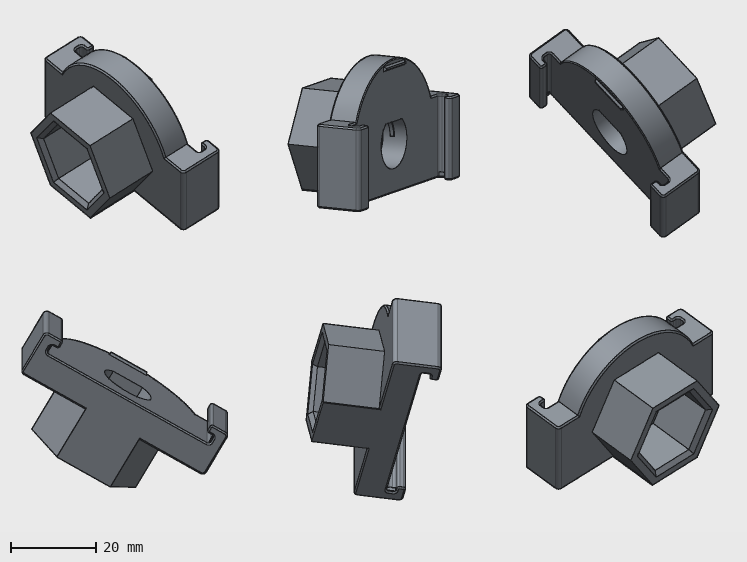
import cadquery as cq
import math

WIDTH = 50.0
DISC_RADIUS = 20.0
BASE_Z = -12.2
SHOULDER_Z = 7.8
PLATE_THICKNESS = 7.3
CORNER_RADIUS = 1.0
EDGE_CHAMFER = 0.4
DISC_BACK_CHAMFER = 0.25

ARM_BACK_Y = 11.7
ARM_WALL = 2.75
HOOK_REACH = 4.85
HOOK_THICKNESS = 2.1
HOOK_TIP_RADIUS = 0.6
CHANNEL_RADIUS = 0.75

STEP_WIDTH = 0.3
STEP_HEIGHT = 1.0

SOCKET_LENGTH = 13.4
SOCKET_RADIUS = 14.15
SOCKET_FOOT_HEIGHT = 0.3
POCKET_RADIUS = 10.75
MOUTH_RADIUS = 12.0
MOUTH_DEPTH = 1.05

CONE_MOUTH_RADIUS = 8.0
CONE_END_RADIUS = 4.5
CONE_DEPTH = 2.0
BORE_RADIUS = 6.35
BORE_FLAT_Z = 4.95

LIP_RADIUS = 6.0
LIP_Y = 3.0
LIP_THICKNESS = 1.0

RIDGE_Z = 18.3
RIDGE_HEIGHT = 0.6
RIDGE_BASE_LENGTH = 10.2
RIDGE_BASE_WIDTH = 1.2
RIDGE_TIP_LENGTH = 9.6
RIDGE_TIP_WIDTH = 0.4

HALF_WIDTH = WIDTH / 2
CHANNEL_WALL_X = HALF_WIDTH - ARM_WALL
HOOK_TIP_X = HALF_WIDTH - HOOK_REACH
HOOK_Y = ARM_BACK_Y - HOOK_THICKNESS


def plane_at(y):
    """XZ workplane at the given y; positive offsets lead toward -Y."""
    return cq.Workplane("XZ", origin=(0, y, 0))


def hexagon(radius):
    """Corners of a hexagon, counter-clockwise from the one on +X."""
    angles = [math.radians(60 * i) for i in range(6)]
    return [(radius * math.cos(a), radius * math.sin(a)) for a in angles]


def round_upright_edges(body, x, radius):
    """Fillet the vertical edges that lie at -x and +x."""
    reach = 0.05
    for side in (-1, 1):
        low = (side * x - reach, -0.5, BASE_Z - 0.5)
        high = (side * x + reach, ARM_BACK_Y + 0.5, SHOULDER_Z + 0.5)
        body = body.edges("|Z").edges(cq.selectors.BoxSelector(low, high)).fillet(radius)
    return body


def make_base():
    """Lower body with both hooked arms."""
    right_half = [
        (HALF_WIDTH, 0),
        (HALF_WIDTH, ARM_BACK_Y),
        (HOOK_TIP_X, ARM_BACK_Y),
        (HOOK_TIP_X, HOOK_Y),
        (CHANNEL_WALL_X, HOOK_Y),
        (CHANNEL_WALL_X, PLATE_THICKNESS),
    ]
    left_half = [(-x, y) for x, y in reversed(right_half)]
    base = (
        cq.Workplane("XY", origin=(0, 0, BASE_Z))
        .polyline(right_half + left_half)
        .close()
        .extrude(SHOULDER_Z - BASE_Z)
    )
    base = round_upright_edges(base, HALF_WIDTH, CORNER_RADIUS)
    base = round_upright_edges(base, CHANNEL_WALL_X, CHANNEL_RADIUS)
    base = round_upright_edges(base, HOOK_TIP_X, HOOK_TIP_RADIUS)
    return base.faces("<Z or >Z").edges().chamfer(EDGE_CHAMFER)


def make_disc():
    """Upper half of the round plate, with both rims chamfered."""
    disc = plane_at(0).circle(DISC_RADIUS).extrude(-PLATE_THICKNESS)
    disc = disc.faces("<Y").edges().chamfer(EDGE_CHAMFER)
    disc = disc.faces(">Y").edges().chamfer(DISC_BACK_CHAMFER)
    upper_half = cq.Workplane("XY").box(WIDTH, WIDTH, DISC_RADIUS, centered=(True, True, False))
    return disc.intersect(upper_half)


def make_channel_step(side):
    """Step on the channel wall; side is -1 or +1."""
    return (
        cq.Workplane("XY", origin=(side * CHANNEL_WALL_X, PLATE_THICKNESS, BASE_Z + EDGE_CHAMFER))
        .box(2 * STEP_WIDTH, HOOK_Y - PLATE_THICKNESS, STEP_HEIGHT, centered=(True, False, False))
    )


def make_socket():
    """Hexagonal prism standing on a straight-sided foot."""
    foot_top_z = BASE_Z + SOCKET_FOOT_HEIGHT
    foot_x = SOCKET_RADIUS + foot_top_z / math.sqrt(3)
    foot = [(-foot_x, foot_top_z), (-foot_x, BASE_Z), (foot_x, BASE_Z), (foot_x, foot_top_z)]
    upper_corners = hexagon(SOCKET_RADIUS)[:4]
    return (
        plane_at(EDGE_CHAMFER)
        .polyline(upper_corners + foot)
        .close()
        .extrude(SOCKET_LENGTH + EDGE_CHAMFER)
    )


def make_ridge():
    """Tapered bar that rises from the back face."""
    return (
        plane_at(PLATE_THICKNESS)
        .center(0, RIDGE_Z)
        .rect(RIDGE_BASE_LENGTH, RIDGE_BASE_WIDTH)
        .workplane(offset=-RIDGE_HEIGHT)
        .rect(RIDGE_TIP_LENGTH, RIDGE_TIP_WIDTH)
        .loft(ruled=True)
    )


def make_pocket():
    """Hexagonal pocket with a flared mouth, as deep as the socket is long."""
    pocket = plane_at(0).polyline(hexagon(POCKET_RADIUS)).close().extrude(SOCKET_LENGTH)
    mouth = (
        plane_at(-SOCKET_LENGTH)
        .polyline(hexagon(MOUTH_RADIUS))
        .close()
        .workplane(offset=-MOUTH_DEPTH)
        .polyline(hexagon(POCKET_RADIUS))
        .close()
        .loft(ruled=True)
    )
    return pocket.union(mouth)


def make_bore():
    """Through bore with its top cut flat, the lip left standing and a conical entry."""
    bore = plane_at(0).circle(BORE_RADIUS).extrude(-PLATE_THICKNESS)
    lip = (
        plane_at(LIP_Y)
        .circle(BORE_RADIUS)
        .circle(LIP_RADIUS)
        .extrude(-LIP_THICKNESS)
    )
    upper_half = cq.Workplane("XY").box(WIDTH, WIDTH, BORE_RADIUS, centered=(True, True, False))
    above_flat = upper_half.translate((0, 0, BORE_FLAT_Z))
    bore = bore.cut(lip.intersect(upper_half)).cut(above_flat)
    cone = (
        plane_at(0)
        .circle(CONE_MOUTH_RADIUS)
        .workplane(offset=-CONE_DEPTH)
        .circle(CONE_END_RADIUS)
        .loft()
    )
    return bore.union(cone)


body = make_base().union(make_disc()).union(make_socket()).union(make_ridge())
for side in (-1, 1):
    body = body.union(make_channel_step(side))

result = body.cut(make_pocket()).cut(make_bore())